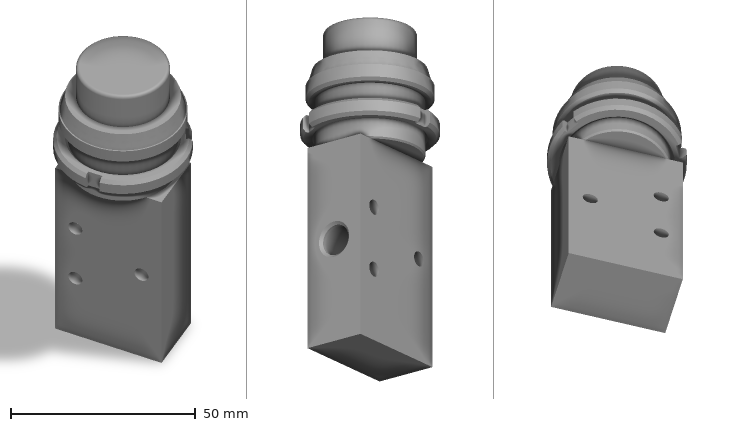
import cadquery as cq
import math

block_x = 32.1
block_y = 18.05
block_top = 58.0

mid_z = 29.5
hole_d = 4.2
hole_x = 10.0
hole_spacing_z = 18.0

port_d = 8.65
port_mouth_d = 10.2
port_depth = 11.3
port_chamfer = (port_mouth_d - port_d) / 2

neck_r = 30.0 / 2
neck_chamfer = 0.5
flange_r = 35.0 / 2
flange_bottom = 74.0
flange_chamfer = 0.8
cone_bottom = 78.5
cone_bottom_r = 17.1
cone_top = 83.1
cone_top_r = 15.7
button_r = 25.5 / 2
button_top = 94.0
button_fillet = 0.9

nut_r = 37.9 / 2
nut_bottom = 63.45
nut_top = 68.4
nut_chamfer = 0.9
nut_bore_chamfer = 0.75
slot_width = 4.2
slot_floor = 17.0
slot_angles = (-90, 30, 150)


def make_block():
    """Rectangular valve block with its mounting holes and side port."""
    block = cq.Workplane("XY").box(block_x, block_y, block_top, centered=(True, True, False))
    half_spacing = hole_spacing_z / 2
    hole_centres = [
        (-hole_x, mid_z - half_spacing),
        (-hole_x, mid_z + half_spacing),
        (hole_x, mid_z),
    ]
    holes = (
        cq.Workplane("XZ")
        .pushPoints(hole_centres)
        .circle(hole_d / 2)
        .extrude(block_y, both=True)
    )
    return block.cut(holes).cut(make_port())


def make_port():
    """Blind port with a chamfered mouth, as a tool revolved about the X direction."""
    mouth_x = -block_x / 2
    floor_x = mouth_x + port_depth
    return (
        cq.Workplane("XY", origin=(0, 0, mid_z))
        .moveTo(mouth_x, 0)
        .lineTo(mouth_x, port_mouth_d / 2)
        .lineTo(mouth_x + port_chamfer, port_d / 2)
        .lineTo(floor_x, port_d / 2)
        .lineTo(floor_x, 0)
        .close()
        .revolve(360, (0, 0, 0), (1, 0, 0))
    )


def make_head():
    """Neck, flange, cone and button, turned about Z."""
    fillet_mid = button_fillet * (1 - math.sqrt(0.5))
    return (
        cq.Workplane("XZ")
        .moveTo(0, block_top)
        .lineTo(neck_r - neck_chamfer, block_top)
        .lineTo(neck_r, block_top + neck_chamfer)
        .lineTo(neck_r, flange_bottom)
        .lineTo(flange_r - flange_chamfer, flange_bottom)
        .lineTo(flange_r, flange_bottom + flange_chamfer)
        .lineTo(flange_r, cone_bottom)
        .lineTo(cone_bottom_r, cone_bottom)
        .lineTo(cone_top_r, cone_top)
        .lineTo(button_r, cone_top)
        .lineTo(button_r, button_top - button_fillet)
        .threePointArc(
            (button_r - fillet_mid, button_top - fillet_mid),
            (button_r - button_fillet, button_top),
        )
        .lineTo(0, button_top)
        .close()
        .revolve(360, (0, 0, 0), (0, 1, 0))
    )


def make_nut():
    """Ring nut with chamfered rims and three flat-floored wrench slots."""
    nut = (
        cq.Workplane("XZ")
        .moveTo(neck_r, nut_bottom + nut_bore_chamfer)
        .lineTo(neck_r + nut_bore_chamfer, nut_bottom)
        .lineTo(nut_r - nut_chamfer, nut_bottom)
        .lineTo(nut_r, nut_bottom + nut_chamfer)
        .lineTo(nut_r, nut_top - nut_chamfer)
        .lineTo(nut_r - nut_chamfer, nut_top)
        .lineTo(neck_r + nut_bore_chamfer, nut_top)
        .lineTo(neck_r, nut_top - nut_bore_chamfer)
        .close()
        .revolve(360, (0, 0, 0), (0, 1, 0))
    )
    slot = cq.Workplane("XY", origin=(slot_floor, 0, nut_bottom)).box(
        nut_r, slot_width, nut_top - nut_bottom, centered=(False, True, False)
    )
    for angle in slot_angles:
        nut = nut.cut(slot.rotate((0, 0, 0), (0, 0, 1), angle))
    return nut


valve = make_block().union(make_head())
nut = make_nut()

result = cq.Compound.makeCompound([valve.val(), nut.val()])